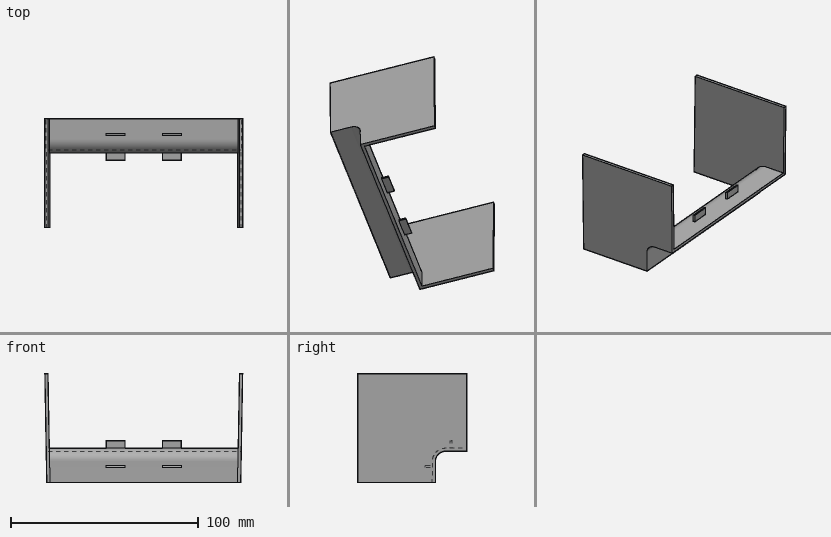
import cadquery as cq
import math

width = 105.6
side = 58.2

plate_thickness = 1.8
plate_lean = 1.0
lean_shift = side * math.tan(math.radians(plate_lean))

wall_reach = 18.4
wall_thickness = 1.7
bend_radius = 7.0
notch_reach = wall_reach - wall_thickness
notch_radius = bend_radius - wall_thickness

tab_width = 10.0
tab_thickness = 1.1
tab_height = 4.0
tab_tip_radius = 2.1
tab_spacing = 30.0
tab_offset = 8.0

foot_height = tab_offset
foot_flare = 0.07



def corner_block(reach, radius):
    """Full-width block in the back lower corner, rounded along its inner edge."""
    return (
        cq.Workplane("XY")
        .box(width, reach, reach, centered=(True, False, False))
        .translate((0, -reach, 0))
        .edges("<Y and >Z")
        .fillet(radius)
    )


def leaning_prism(inset):
    """Body between two outward-leaning sides, set in from the outer plate faces."""
    half_top = width / 2 - inset
    half_bottom = half_top - lean_shift
    outline = [
        (-half_bottom, 0),
        (half_bottom, 0),
        (half_top, side),
        (-half_top, side),
    ]
    return cq.Workplane("XZ").polyline(outline).close().extrude(side)


def wall_foot():
    """Thin wedge that flares the front leg below the tabs."""
    outline = [
        (-notch_reach, 0),
        (-wall_reach - foot_flare, 0),
        (-wall_reach, foot_height),
        (-notch_reach, foot_height),
    ]
    return cq.Workplane("YZ").polyline(outline).close().extrude(width / 2, both=True)


def plate_foot():
    """Thin wedge that flares the inner face of the right plate below the tabs."""
    inner_bottom = width / 2 - plate_thickness - lean_shift
    inner_top = inner_bottom + foot_height * math.tan(math.radians(plate_lean))
    middle = plate_thickness / 2
    outline = [
        (inner_bottom - foot_flare, 0),
        (inner_bottom + middle, 0),
        (inner_top + middle, foot_height),
        (inner_top, foot_height),
    ]
    return cq.Workplane("XZ").polyline(outline).close().extrude(side)


def upright_tab(x_center):
    """Tab on the upper leg, its tip curving down towards the front."""
    front = -tab_offset - tab_thickness
    tip = wall_reach + tab_height
    tip_drop = tab_tip_radius - math.sqrt(tab_tip_radius**2 - tab_thickness**2)
    return (
        cq.Workplane("YZ", origin=(x_center - tab_width / 2, 0, 0))
        .moveTo(front, notch_reach)
        .lineTo(front, tip - tip_drop)
        .radiusArc((-tab_offset, tip), tab_tip_radius)
        .lineTo(-tab_offset, notch_reach)
        .close()
        .extrude(tab_width)
    )


def forward_tab(x_center):
    """Tab on the front leg: the upright tab mirrored across the bend."""
    bend_diagonal = cq.Vector(0, 1, 1)
    return upright_tab(x_center).mirror(bend_diagonal)


outer_body = leaning_prism(0)
plates = outer_body.cut(leaning_prism(plate_thickness))
plates = plates.union(plate_foot()).union(plate_foot().mirror("YZ"))

wall = corner_block(wall_reach, bend_radius).union(wall_foot()).intersect(outer_body)
notch = corner_block(notch_reach, notch_radius)

result = plates.union(wall).cut(notch)
for x_center in (-tab_spacing / 2, tab_spacing / 2):
    result = result.union(upright_tab(x_center)).union(forward_tab(x_center))